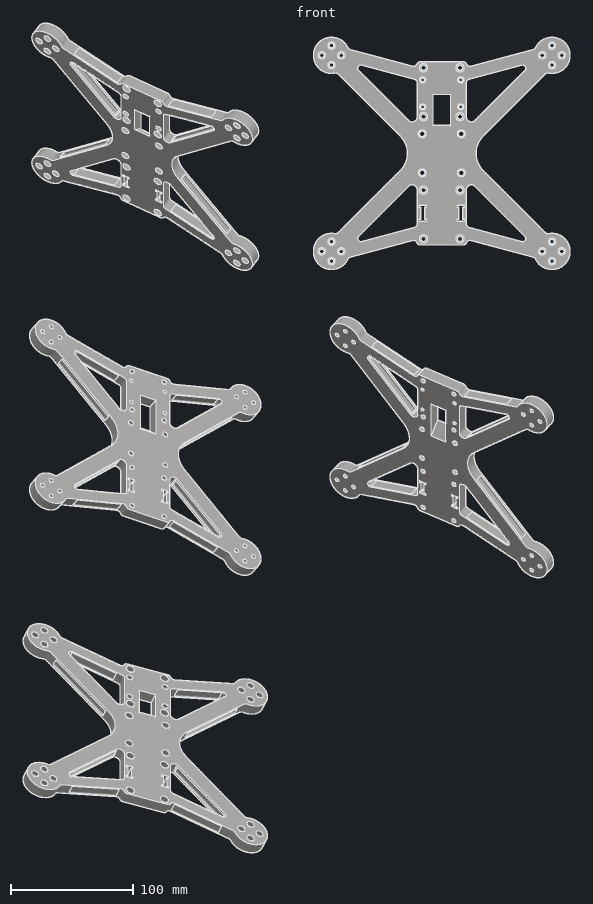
import cadquery as cq
import math

LENGTH = 210.0
HEIGHT = 190.0
THICKNESS = 10.0

PAD_RADIUS = 15.0
PAD_X = LENGTH / 2 - PAD_RADIUS
PAD_Z = HEIGHT / 2 - PAD_RADIUS

PLATE_HALF_WIDTH = 20.2
PLATE_HALF_HEIGHT = 75.0

ARM_ANGLE = 45.0
ARM_WIDTH = 14.0

BRACE_ANGLE = 15.0
BRACE_WIDTH = 10.0
BRACE_ROOT_Z = 65.0

CORNER_RADIUS = 3.0
WINDOW_TIP_RADIUS = 2.5
WINDOW_FOOT_RADIUS = 4.0
WAIST_RADIUS = 20.0

GROOVE_END_RADIUS = 2.0
GROOVE_FLOOR_RADIUS = 0.5
ARM_GROOVE_LENGTH = 61.3
ARM_GROOVE_X = 52.7
ARM_GROOVE_WIDTH = 6.0
ARM_GROOVE_DEPTH = 2.0
BRACE_GROOVE_LENGTH = 42.6
BRACE_GROOVE_X = 46.0
BRACE_GROOVE_WIDTH = 8.0
BRACE_GROOVE_DEPTH = 1.0

RECESS_DEPTH = 6.0
MOTOR_HOLE, MOTOR_RECESS = 3.5, 6.0
CORNER_HOLE, CORNER_RECESS = 4.0, 7.0
STACK_HOLE, STACK_RECESS = 4.5, 6.5
CAMERA_HOLE, CAMERA_RECESS = 3.0, 5.0
MOTOR_BOLT_RADIUS = 8.0
CORNER_HOLE_X = 15.0
CORNER_HOLE_Z = (30.0, 70.0)
STACK_HOLE_OFFSET = 16.0
CAMERA_HOLE_X = 15.5
CAMERA_HOLE_Z = (38.0, 60.0)

OPENING_WIDTH = 14.0
OPENING_BOTTOM = 23.0
OPENING_TOP = 48.0
OPENING_FLOOR_DROP = THICKNESS

STRAP_X = 15.5
STRAP_Z = -49.0
STRAP_HEIGHT = 13.0
STRAP_WEB_WIDTH = 3.0
STRAP_END_WIDTH = 5.9
STRAP_END_HEIGHT = 1.5

ARM = (ARM_ANGLE, ARM_WIDTH, PAD_Z - PAD_X * math.tan(math.radians(ARM_ANGLE)))
BRACE = (
    BRACE_ANGLE,
    BRACE_WIDTH,
    BRACE_ROOT_Z - PLATE_HALF_WIDTH * math.tan(math.radians(BRACE_ANGLE)),
)
SIDES = (-1, 1)


def slab(points):
    """Prism through the full thickness with the given (x, z) outline."""
    sketch = cq.Workplane("XZ", origin=(0, -THICKNESS / 2, 0))
    return sketch.polyline(points).close().extrude(-THICKNESS)


def block(x, z, width, height):
    """Rectangular prism through the full thickness, centred at (x, z)."""
    return cq.Workplane("XY").box(width, THICKNESS, height).translate((x, 0, z))


def edge_z(bar, side, x):
    """Height at x of the upper (side 1) or lower (side -1) edge of a bar."""
    angle, width, intercept = bar
    slope = math.radians(angle)
    return intercept + x * math.tan(slope) + side * width / 2 / math.cos(slope)


def crossing(bar_a, side_a, bar_b, side_b):
    """Point where an edge of one bar meets an edge of another."""
    slope_a = math.tan(math.radians(bar_a[0]))
    slope_b = math.tan(math.radians(bar_b[0]))
    x = (edge_z(bar_b, side_b, 0) - edge_z(bar_a, side_a, 0)) / (slope_a - slope_b)
    return (x, edge_z(bar_a, side_a, x))


def pad_crossing(bar, side):
    """Point where an edge of a bar runs into the rim of its pad."""
    slope = math.radians(bar[0])
    distance = (edge_z(bar, side, PAD_X) - PAD_Z) * math.cos(slope)
    reach = math.sqrt(PAD_RADIUS**2 - distance**2)
    x = PAD_X - distance * math.sin(slope) - reach * math.cos(slope)
    return (x, edge_z(bar, side, x))


def round_corners(body, corners, radius):
    """Fillet the through-thickness edges at the given (x, z) corners."""
    for x, z in corners:
        nearest = cq.NearestToPointSelector((x, 0, z))
        body = body.edges("|Y").edges(nearest).fillet(radius)
    return body


def mirrored(body, plane):
    """Join a body with its mirror image."""
    return body.union(body.mirror(plane))


def window():
    """Triangular window between plate, arm and brace, with rounded corners."""
    foot = (PLATE_HALF_WIDTH, edge_z(ARM, 1, PLATE_HALF_WIDTH))
    tip = crossing(ARM, 1, BRACE, -1)
    head = (PLATE_HALF_WIDTH, edge_z(BRACE, -1, PLATE_HALF_WIDTH))
    body = slab([foot, tip, head])
    body = round_corners(body, [foot], WINDOW_FOOT_RADIUS)
    body = round_corners(body, [tip], WINDOW_TIP_RADIUS)
    return round_corners(body, [head], CORNER_RADIUS)


def quarter_frame():
    """The +X, +Z quarter of the frame with its window."""
    arm_pad = pad_crossing(ARM, -1)
    brace_pad = pad_crossing(BRACE, 1)
    brace_root = (PLATE_HALF_WIDTH, edge_z(BRACE, 1, PLATE_HALF_WIDTH))
    plate_corner = (PLATE_HALF_WIDTH, PLATE_HALF_HEIGHT)
    points = [
        (0, 0),
        (WAIST_X, 0),
        arm_pad,
        (PAD_X, PAD_Z),
        brace_pad,
        brace_root,
        plate_corner,
        (0, PLATE_HALF_HEIGHT),
    ]
    pad_sketch = cq.Workplane("XZ", origin=(PAD_X, -THICKNESS / 2, PAD_Z))
    pad = pad_sketch.circle(PAD_RADIUS).extrude(-THICKNESS)
    body = slab(points).union(pad)
    body = round_corners(body, [arm_pad, brace_pad, brace_root, plate_corner], CORNER_RADIUS)
    return body.cut(window())


def groove(bar, side, centre_x, length, groove_width, depth):
    """Groove sunk into one edge of a bar, its floor curving up to the edge at both ends."""
    angle, width, _ = bar
    slope = math.radians(angle)
    x = centre_x - side * width / 2 * math.sin(slope)
    z = edge_z(bar, side, x)
    plane = cq.Plane(
        origin=(x, -groove_width / 2, z),
        xDir=(math.cos(slope), 0, math.sin(slope)),
        normal=(0, -1, 0),
    )
    rim = length / 2
    floor = rim - math.sqrt(GROOVE_END_RADIUS**2 - (GROOVE_END_RADIUS - depth) ** 2)
    floor_y = -side * depth
    profile = cq.Workplane(plane).moveTo(-floor, floor_y).lineTo(floor, floor_y)
    profile = profile.radiusArc((rim, 0), -side * GROOVE_END_RADIUS).lineTo(-rim, 0)
    profile = profile.radiusArc((-floor, floor_y), -side * GROOVE_END_RADIUS).close()
    cutter = profile.extrude(-groove_width)

    floor_x = x + side * depth * math.sin(slope)
    floor_z = z - side * depth * math.cos(slope)
    for wall_y in (-groove_width / 2, groove_width / 2):
        nearest = cq.NearestToPointSelector((floor_x, wall_y, floor_z))
        cutter = cutter.edges(nearest).fillet(GROOVE_FLOOR_RADIUS)
    return cutter


def recessed_holes(body, centres, hole, recess):
    """Drill through holes with a wider recess in the front (-Y) face."""
    sketch = cq.Workplane("XZ", origin=(0, -THICKNESS / 2, 0)).pushPoints(centres)
    through = sketch.circle(hole / 2).extrude(-THICKNESS)
    head = sketch.circle(recess / 2).extrude(-RECESS_DEPTH)
    return body.cut(through).cut(head)


def strap_slot(x):
    """I-shaped slot: a narrow web with a wider opening at each end."""
    slot = block(x, STRAP_Z, STRAP_WEB_WIDTH, STRAP_HEIGHT)
    end_offset = (STRAP_HEIGHT - STRAP_END_HEIGHT) / 2
    for side in SIDES:
        end = block(x, STRAP_Z + side * end_offset, STRAP_END_WIDTH, STRAP_END_HEIGHT)
        slot = slot.union(end)
    return slot


def plate_opening():
    """Opening with a level top and a floor that slopes down towards the back."""
    front, back = -THICKNESS / 2, THICKNESS / 2
    points = [
        (front, OPENING_BOTTOM),
        (back, OPENING_BOTTOM - OPENING_FLOOR_DROP),
        (back, OPENING_TOP),
        (front, OPENING_TOP),
    ]
    return cq.Workplane("YZ").polyline(points).close().extrude(OPENING_WIDTH / 2, both=True)


WAIST_X = -edge_z(ARM, -1, 0) / math.tan(math.radians(ARM_ANGLE))
frame = quarter_frame()
for side in SIDES:
    for cutter in (
        groove(ARM, side, ARM_GROOVE_X, ARM_GROOVE_LENGTH, ARM_GROOVE_WIDTH, ARM_GROOVE_DEPTH),
        groove(BRACE, side, BRACE_GROOVE_X, BRACE_GROOVE_LENGTH, BRACE_GROOVE_WIDTH, BRACE_GROOVE_DEPTH),
    ):
        frame = frame.cut(cutter)
frame = mirrored(mirrored(frame, "XY"), "YZ")
frame = round_corners(frame, [(side * WAIST_X, 0) for side in SIDES], WAIST_RADIUS)

motor_centres = []
for side_x in SIDES:
    for side_z in SIDES:
        pad_x = side_x * PAD_X
        pad_z = side_z * PAD_Z
        for offset in (-MOTOR_BOLT_RADIUS, MOTOR_BOLT_RADIUS):
            motor_centres.append((pad_x + offset, pad_z))
            motor_centres.append((pad_x, pad_z + offset))
corner_centres = [
    (side_x * CORNER_HOLE_X, side_z * z) for side_x in SIDES for side_z in SIDES for z in CORNER_HOLE_Z
]
stack_centres = [
    (side_x * STACK_HOLE_OFFSET, side_z * STACK_HOLE_OFFSET) for side_x in SIDES for side_z in SIDES
]
camera_centres = [(side * CAMERA_HOLE_X, z) for side in SIDES for z in CAMERA_HOLE_Z]
frame = recessed_holes(frame, motor_centres, MOTOR_HOLE, MOTOR_RECESS)
frame = recessed_holes(frame, corner_centres, CORNER_HOLE, CORNER_RECESS)
frame = recessed_holes(frame, stack_centres, STACK_HOLE, STACK_RECESS)
frame = recessed_holes(frame, camera_centres, CAMERA_HOLE, CAMERA_RECESS)

frame = frame.cut(plate_opening())
for side in SIDES:
    frame = frame.cut(strap_slot(side * STRAP_X))

result = frame